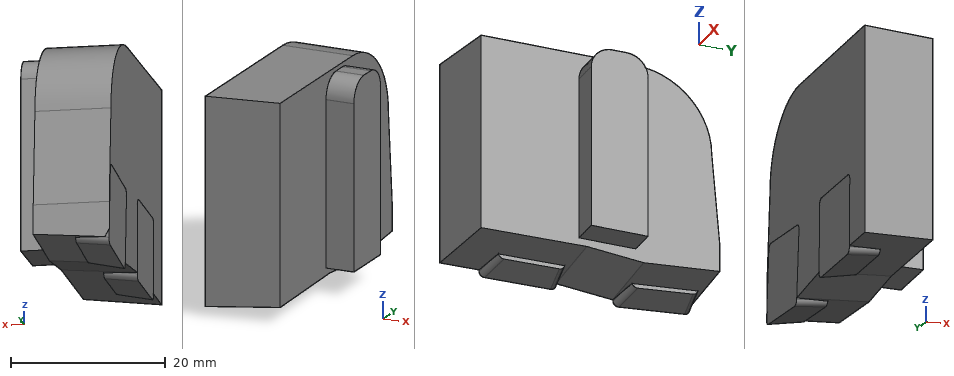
import cadquery as cq
import math

BODY_DEPTH = 10.02

BACK_Y = 35.17
SHOULDER_Y = 34.05
LEAN_END_Z = -23.5
BACK_BOTTOM_Z = -28.22
BELLY = (24.4, -29.1)
NOTCH = (16.4, -28.35)
FRONT_BOTTOM_Z = -28.65
SHOULDER_RADIUS = 10.75

UNDERSIDE_RISE = 0.8
FRONT_RELIEF = 1.48

KEY_LENGTH = 4.0
KEY_FRONT_Y = 15.28
KEY_WIDTH = 8.0
KEY_TOP_Z = -0.6
KEY_HEIGHT = 25.93
KEY_RADIUS = 3.0

TIP_WIDTH = 10.85
TIP_HEIGHT = 10.95
TIP_DEPTH = 4.6
TIP_RADIUS = 0.78
TIP_INSET = 0.75
TIP_PLACES = [(29.45, -24.13, 5.0), (10.9, -23.95, 1.0)]


def holder_outline(x, rise):
    """Closed outline in the plane at x, with the underside lifted by rise."""
    center_y = SHOULDER_Y - SHOULDER_RADIUS
    arc_middle = (
        center_y + SHOULDER_RADIUS * math.sin(math.pi / 4),
        SHOULDER_RADIUS * (math.cos(math.pi / 4) - 1),
    )
    return (
        cq.Workplane("YZ", origin=(x, 0, 0))
        .lineTo(center_y, 0)
        .threePointArc(arc_middle, (SHOULDER_Y, -SHOULDER_RADIUS))
        .lineTo(BACK_Y, LEAN_END_Z)
        .lineTo(BACK_Y, BACK_BOTTOM_Z + rise)
        .lineTo(BELLY[0], BELLY[1] + rise)
        .lineTo(NOTCH[0], NOTCH[1] + rise)
        .lineTo(0, FRONT_BOTTOM_Z + rise)
        .close()
        .val()
    )


def make_block():
    """Holder block with a rising underside and a slanted front face."""
    near = holder_outline(0, 0)
    far = holder_outline(BODY_DEPTH, UNDERSIDE_RISE)
    block = cq.Workplane(cq.Solid.makeLoft([near, far], True))
    front_wedge = (
        cq.Workplane("XY")
        .lineTo(BODY_DEPTH, 0)
        .lineTo(BODY_DEPTH, FRONT_RELIEF)
        .close()
        .extrude(FRONT_BOTTOM_Z)
    )
    return block.cut(front_wedge)


def make_key():
    """Upright key on the far face, rounded at its top only."""
    return (
        cq.Workplane("XY")
        .box(KEY_LENGTH, KEY_WIDTH, KEY_HEIGHT, centered=False)
        .edges("|X and >Z")
        .fillet(KEY_RADIUS)
        .translate((BODY_DEPTH, KEY_FRONT_Y, KEY_TOP_Z - KEY_HEIGHT))
    )


def rounded_rectangle(inset):
    return (
        cq.Sketch()
        .rect(TIP_WIDTH - 2 * inset, TIP_HEIGHT - 2 * inset)
        .vertices()
        .fillet(TIP_RADIUS)
    )


def make_tip(center_y, center_z, tilt):
    """Tapered insert with rounded corners, tilted about X."""
    outer_end = rounded_rectangle(0)
    inner_end = rounded_rectangle(TIP_INSET).moved(cq.Location(cq.Vector(0, 0, TIP_DEPTH)))
    return (
        cq.Workplane("YZ")
        .placeSketch(outer_end, inner_end)
        .loft(ruled=True)
        .rotate((0, 0, 0), (1, 0, 0), tilt)
        .translate((0, center_y, center_z))
    )


tips = [make_tip(*place) for place in TIP_PLACES]

holder = make_block().union(make_key())
for tip in tips:
    holder = holder.cut(tip)
holder = holder.solids()

result = cq.Compound.makeCompound([holder.val(), *[tip.val() for tip in tips]])